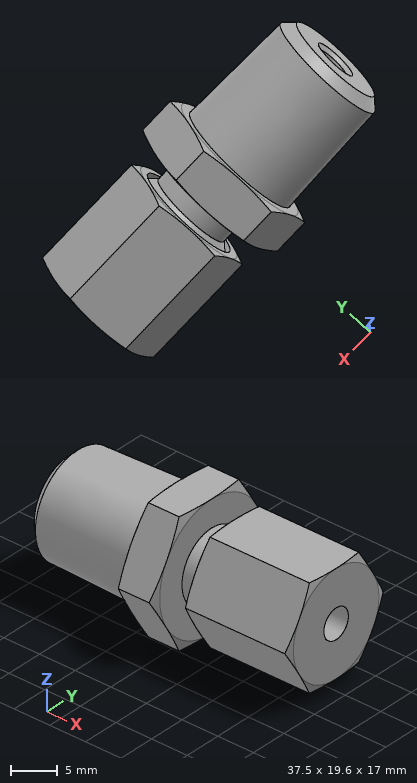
import cadquery as cq
import math


total_length = 37.5
collar_start = 15.0
collar_length = 5.02
neck_end = 22.6
nut_start = 23.0

taper_tip_diameter = 13.85
taper_base_diameter = 14.62
end_chamfer = 1.25
collar_across_flats = 17.0
neck_diameter = 9.68
stub_diameter = 12.0

bore_diameter = 4.0
mouth_diameter = 5.0

nut_across_flats = 14.0

hex_bevel_angle = 15.0

collar_end = collar_start + collar_length
nut_length = total_length - nut_start
socket_depth = nut_length / 2
stub_end = nut_start + socket_depth
thread_lead_in = (stub_diameter - neck_diameter) / 2
mouth_depth = (mouth_diameter - bore_diameter) / 2


def revolve_about_x(profile):
    """Solid of revolution from (x, radius) points that start and end on the X axis."""
    return cq.Workplane("XY").polyline(profile).close().revolve(360, (0, 0, 0), (1, 0, 0))


def beveled_hex(start, length, across_flats):
    """Hexagon bar along X, flats facing up and down, corners beveled at both ends."""
    across_corners = across_flats / math.cos(math.radians(30))
    bar = cq.Workplane("YZ").workplane(offset=start).polygon(6, across_corners).extrude(length)

    face_radius = across_flats / 2
    corner_radius = across_corners / 2
    bevel_depth = (corner_radius - face_radius) * math.tan(math.radians(hex_bevel_angle))
    end = start + length
    envelope = revolve_about_x([
        (start, 0),
        (start, face_radius),
        (start + bevel_depth, corner_radius),
        (end - bevel_depth, corner_radius),
        (end, face_radius),
        (end, 0),
    ])
    return bar.intersect(envelope)


def through_bore():
    """Bore along the whole fitting, with a 45 degree countersink at the tapered end."""
    return revolve_about_x([
        (0, 0),
        (0, mouth_diameter / 2),
        (mouth_depth, bore_diameter / 2),
        (total_length, bore_diameter / 2),
        (total_length, 0),
    ])


def make_fitting_body():
    """Tapered thread, hexagon collar, relief neck and the stub that fills the nut socket."""
    tapered_thread = revolve_about_x([
        (0, 0),
        (0, taper_tip_diameter / 2 - end_chamfer),
        (end_chamfer, taper_tip_diameter / 2),
        (collar_start, taper_base_diameter / 2),
        (collar_start, 0),
    ])
    collar = beveled_hex(collar_start, collar_length, collar_across_flats)
    neck_and_stub = revolve_about_x([
        (collar_end, 0),
        (collar_end, neck_diameter / 2),
        (neck_end, neck_diameter / 2),
        (neck_end + thread_lead_in, stub_diameter / 2),
        (stub_end, stub_diameter / 2),
        (stub_end, 0),
    ])
    return tapered_thread.union(collar).union(neck_and_stub).cut(through_bore())


def make_union_nut():
    """Hexagon nut with a flat-bottomed socket for the stub and the bore running on through."""
    nut = beveled_hex(nut_start, nut_length, nut_across_flats)
    socket = cq.Workplane("YZ").workplane(offset=nut_start).circle(stub_diameter / 2).extrude(socket_depth)
    return nut.cut(socket).cut(through_bore())


fitting_body = make_fitting_body()
union_nut = make_union_nut()

result = cq.Compound.makeCompound([fitting_body.val(), union_nut.val()])